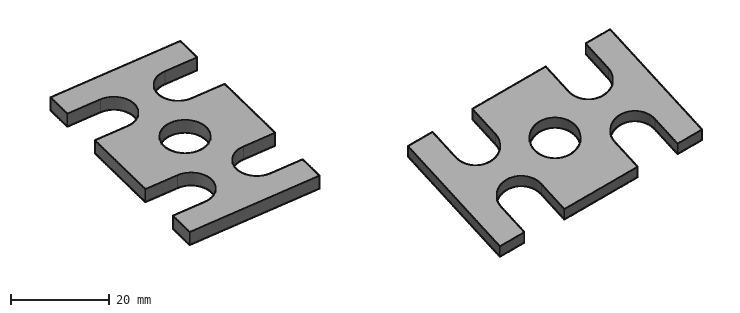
import cadquery as cq

length = 50.8
width = 31.75
thickness = 3.5

hole_diameter = 10.4

slot_width = 10.0
slot_offset = 14.2
left_slot_depth = 13.0
right_slot_depth = 12.85


def edge_slot(x, depth, side):
    """Cutter for a slot entering from the edge on the given Y side (+1 or -1)."""
    radius = slot_width / 2
    edge_y = side * width / 2
    arc_y = edge_y - side * (depth - radius)
    tip_y = edge_y - side * depth
    return (
        cq.Workplane("XY")
        .moveTo(x - radius, edge_y)
        .lineTo(x - radius, arc_y)
        .threePointArc((x, tip_y), (x + radius, arc_y))
        .lineTo(x + radius, edge_y)
        .close()
        .extrude(thickness)
    )


plate = cq.Workplane("XY").rect(length, width).extrude(thickness)
result = plate.faces(">Z").workplane().hole(hole_diameter)

for side in (1, -1):
    result = result.cut(edge_slot(-slot_offset, left_slot_depth, side))
    result = result.cut(edge_slot(slot_offset, right_slot_depth, side))